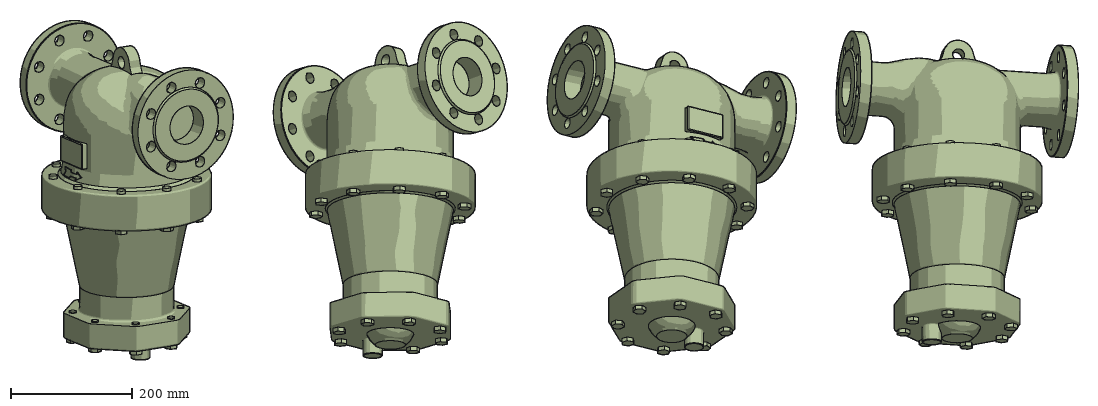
import cadquery as cq
import math

top_z = 522.5
drain_flange_bottom_z = 28.0
drain_flange_top_z = 71.5
cone_bottom_z = 115.5
body_flange_bottom_z = 243.5
body_flange_top_z = 304.5
skirt_bottom_z = 309.5
skirt_top_z = 329.0
dome_base_z = 393.5
dome_top_z = 484.5

body_radius = 208.0 / 2
skirt_radius = 108.5
skirt_fillet = 4.5
body_flange_radius = 280.0 / 2
flange_edge_fillet = 3.0
cone_top_radius = body_radius
cone_fillet = 3.0
cone_bottom_radius = 78.5
cone_lip = 1.5
neck_radius = 155.0 / 2
neck_fillet = 4.0
dome_shoulder_radius = 70.5
dome_shoulder_z = 465.5

pipe_radius = 89.0 / 2
bore_radius = 65.0 / 2
bore_depth = 31.5
half_length = 374.0 / 2
pipe_flange_radius = 185.0 / 2
pipe_flange_back_x = 164.5
pipe_flange_edge = 1.0
pipe_axis_z = top_z - pipe_flange_radius
raised_face_height = 3.0
raised_face_radius = 122.0 / 2
raised_face_base_radius = 127.0 / 2
hub_start_x = 146.0
hub_end_x = 160.5
hub_radius = 47.0
hub_fillet = 4.0
pipe_hole_radius = 18.0 / 2
pipe_hole_count = 8
pipe_hole_circle_radius = 72.5
root_clearance = 5.0
inlet_root_fillet = 13.5
outlet_root_fillet = 21.0
outlet_bend_x = 112.5
outlet_bend_rise = 1.0
outlet_hump_x = 65.5
outlet_hump_rise = 12.0
outlet_root_x = 15.5
outlet_root_rise = -3.5
outlet_root_slope = 0.6

lug_z = 495.5
lug_radius = 25.0
lug_hole_radius = 20.0 / 2
lug_thickness = 21.0
lug_taper = math.radians(16)
lug_flare_top_z = 491.0
lug_foot_half_width = 33.5
lug_foot_z = 478.5
lug_root_z = 454.5

octagon_across_flats = 196.5
octagon_sides = 8
half_octagon_step = 360 / octagon_sides / 2
octagon_corner_fillet = 16.0
dish_top_radius = 38.5
dish_side_radius = 33.5
dish_side_z = 19.0
dish_rim_radius = 27.5
dish_rim_z = 13.0
dish_bottom_radius = 25.0
dish_bottom_z = 10.0
drain_radius = 32.0 / 2
drain_x = 43.0
drain_edge_chamfer = 1.0
drain_root_fillet = 2.5

head_sides = 6
head_across_flats = 19.0
head_height = 7.0
body_bolt_count = 10
body_bolt_circle_radius = 125.0
body_stud_radius = 14.0 / 2
body_stud_height = 5.0
drain_bolt_count = octagon_sides
drain_bolt_circle_radius = 90.0
drain_stud_radius = 12.0 / 2
drain_stud_height = 2.0

plate_width = 68.0
plate_bottom_z = 334.0
plate_top_z = 377.0
plate_front_y = -108.0
plate_edge_chamfer = 1.5
plate_corner_fillet = 2.0
arrow_relief = 1.5
arrow_z = 318.0
arrow_half_height = 7.0
arrow_shaft_half_height = 3.0
arrow_tail_x = -26.0
arrow_notch_x = -20.5
arrow_shoulder_x = -1.0
arrow_head_x = 14.0
arrow_tip_x = 26.0


def turned(profile):
    """Revolve a (radius, height) profile about Z, with the seam turned to the +Y side."""
    return profile.close().revolve(360, (0, 0, 0), (0, 1, 0)).rotate((0, 0, 0), (0, 0, 1), 90)


def domed_shell():
    """Upper casing: flange, flared skirt, cylinder and dished dome."""
    profile = (
        cq.Workplane("XZ")
        .moveTo(0, body_flange_bottom_z)
        .lineTo(skirt_radius + skirt_fillet, body_flange_bottom_z)
        .lineTo(skirt_radius + skirt_fillet, body_flange_top_z)
        .lineTo(skirt_radius, skirt_bottom_z)
        .lineTo(body_radius, skirt_top_z)
        .lineTo(body_radius, dome_base_z)
        .spline(
            [(dome_shoulder_radius, dome_shoulder_z), (0, dome_top_z)],
            tangents=[(0, 1), (-1, 0)],
            includeCurrent=True,
        )
    )
    return turned(profile)


def body_flange():
    height = body_flange_top_z - body_flange_bottom_z
    disc = cq.Workplane("XY", origin=(0, 0, body_flange_bottom_z)).circle(body_flange_radius).extrude(height)
    return disc.edges().fillet(flange_edge_fillet)


def lower_casing():
    """Tapered casing and straight neck between the two bolted flanges."""
    profile = (
        cq.Workplane("XZ")
        .moveTo(0, drain_flange_top_z)
        .lineTo(neck_radius + neck_fillet, drain_flange_top_z)
        .radiusArc((neck_radius, drain_flange_top_z + neck_fillet), neck_fillet)
        .lineTo(neck_radius, cone_bottom_z - cone_lip)
        .lineTo(cone_bottom_radius, cone_bottom_z)
        .lineTo(cone_top_radius, body_flange_bottom_z - cone_fillet)
        .lineTo(cone_top_radius + cone_fillet, body_flange_bottom_z)
        .lineTo(0, body_flange_bottom_z)
    )
    return turned(profile)


def bolts(count, start_angle, circle_radius, head_z, stud_z, stud_radius, stud_top_z):
    """Hex heads below a flange and stud ends above it, corners pointing outwards."""
    head_corner_diameter = head_across_flats / math.cos(math.pi / head_sides)
    heads = (
        cq.Workplane("XY", origin=(0, 0, head_z))
        .polarArray(circle_radius, start_angle, 360, count)
        .polygon(head_sides, head_corner_diameter)
        .extrude(-head_height)
    )
    studs = (
        cq.Workplane("XY", origin=(0, 0, stud_z))
        .polarArray(circle_radius, start_angle, 360, count)
        .circle(stud_radius)
        .extrude(stud_top_z - stud_z)
    )
    return heads.union(studs)


def drain_cover():
    """Octagonal bolted flange with a shallow dish and an offset drain stub."""
    corner_diameter = octagon_across_flats / math.cos(math.radians(half_octagon_step))
    octagon = (
        cq.Workplane("XY", origin=(0, 0, drain_flange_bottom_z))
        .transformed(rotate=(0, 0, half_octagon_step))
        .polygon(octagon_sides, corner_diameter)
        .extrude(drain_flange_top_z - drain_flange_bottom_z)
        .edges("|Z")
        .fillet(octagon_corner_fillet)
        .faces("<Z")
        .edges()
        .fillet(flange_edge_fillet)
    )
    dish = turned(
        cq.Workplane("XZ")
        .moveTo(0, drain_flange_bottom_z)
        .lineTo(dish_top_radius, drain_flange_bottom_z)
        .threePointArc((dish_side_radius, dish_side_z), (dish_rim_radius, dish_rim_z))
        .lineTo(dish_bottom_radius, dish_bottom_z)
        .lineTo(0, dish_bottom_z)
    )
    stub_fillet_bottom_z = drain_flange_bottom_z - drain_root_fillet
    stub = turned(
        cq.Workplane("XZ")
        .lineTo(drain_radius - drain_edge_chamfer, 0)
        .lineTo(drain_radius, drain_edge_chamfer)
        .lineTo(drain_radius, stub_fillet_bottom_z)
        .radiusArc((drain_radius + drain_root_fillet, drain_flange_bottom_z), drain_root_fillet)
        .lineTo(0, drain_flange_bottom_z)
    ).translate((drain_x, 0, 0))
    return octagon.union(dish).union(stub)


def pipe_end(side):
    """Welding hub, flange and raised face on the +X (side = 1) or -X (side = -1) end."""
    flange_face_x = half_length - raised_face_height
    profile = (
        cq.Workplane("XY")
        .moveTo(hub_start_x, 0)
        .lineTo(hub_start_x, pipe_radius)
        .lineTo(hub_end_x, hub_radius)
        .radiusArc((pipe_flange_back_x, hub_radius + hub_fillet), -hub_fillet)
        .lineTo(pipe_flange_back_x, pipe_flange_radius - pipe_flange_edge)
        .lineTo(pipe_flange_back_x + pipe_flange_edge, pipe_flange_radius)
        .lineTo(flange_face_x, pipe_flange_radius)
        .lineTo(flange_face_x, raised_face_base_radius)
        .lineTo(half_length, raised_face_radius)
        .lineTo(half_length, 0)
        .close()
    )
    end = profile.revolve(360, (0, 0, 0), (1, 0, 0))
    holes = (
        cq.Workplane("YZ", origin=(hub_start_x, 0, 0))
        .polarArray(pipe_hole_circle_radius, 180 / pipe_hole_count, 360, pipe_hole_count)
        .circle(pipe_hole_radius)
        .extrude(half_length - hub_start_x)
    )
    end = end.cut(holes)
    if side < 0:
        end = end.mirror("YZ")
    return end.translate((0, 0, pipe_axis_z))


def inlet_pipe():
    return cq.Workplane("YZ", origin=(-hub_start_x, 0, pipe_axis_z)).circle(pipe_radius).extrude(hub_start_x)


def outlet_pipe():
    """Pipe that levels out from a hump beside the dome."""
    path = (
        cq.Workplane("XZ")
        .moveTo(hub_start_x, pipe_axis_z)
        .spline(
            [
                (outlet_bend_x, pipe_axis_z + outlet_bend_rise),
                (outlet_hump_x, pipe_axis_z + outlet_hump_rise),
                (outlet_root_x, pipe_axis_z + outlet_root_rise),
            ],
            tangents=[(-1, 0), (-1, -outlet_root_slope)],
            includeCurrent=True,
        )
    )
    return cq.Workplane("YZ", origin=(hub_start_x, 0, pipe_axis_z)).circle(pipe_radius).sweep(path)


def bores():
    left = cq.Workplane("YZ", origin=(-half_length, 0, pipe_axis_z)).circle(bore_radius).extrude(bore_depth)
    return left.union(left.mirror("YZ"))


def lifting_lug():
    tangent_x = lug_radius * math.cos(lug_taper)
    tangent_z = lug_z + lug_radius * math.sin(lug_taper)
    flare_top_x = tangent_x + (tangent_z - lug_flare_top_z) * math.tan(lug_taper)
    outline = (
        cq.Workplane("XZ", origin=(0, lug_thickness / 2, 0))
        .moveTo(-tangent_x, tangent_z)
        .threePointArc((0, lug_z + lug_radius), (tangent_x, tangent_z))
        .lineTo(flare_top_x, lug_flare_top_z)
        .lineTo(lug_foot_half_width, lug_foot_z)
        .lineTo(lug_foot_half_width, lug_root_z)
        .lineTo(-lug_foot_half_width, lug_root_z)
        .lineTo(-lug_foot_half_width, lug_foot_z)
        .lineTo(-flare_top_x, lug_flare_top_z)
        .close()
    )
    return outline.extrude(lug_thickness)


def lug_hole():
    return (
        cq.Workplane("XZ", origin=(0, lug_thickness / 2, lug_z))
        .circle(lug_hole_radius)
        .extrude(lug_thickness)
    )


def nameplate():
    height = plate_top_z - plate_bottom_z
    centre_z = (plate_top_z + plate_bottom_z) / 2
    return (
        cq.Workplane("XZ", origin=(0, 0, centre_z))
        .rect(plate_width, height)
        .extrude(-plate_front_y)
        .edges("|Y")
        .fillet(plate_corner_fillet)
        .faces("<Y")
        .chamfer(plate_edge_chamfer)
    )


def flow_arrow():
    """Arrow standing slightly proud of the flared skirt, pointing to the outlet."""
    outline = [
        (arrow_tail_x, arrow_half_height),
        (arrow_shoulder_x - arrow_shaft_half_height, arrow_half_height),
        (arrow_shoulder_x, arrow_shaft_half_height),
        (arrow_head_x, arrow_shaft_half_height),
        (arrow_head_x, arrow_half_height),
        (arrow_tip_x, 0),
        (arrow_head_x, -arrow_half_height),
        (arrow_head_x, -arrow_shaft_half_height),
        (arrow_shoulder_x, -arrow_shaft_half_height),
        (arrow_shoulder_x - arrow_shaft_half_height, -arrow_half_height),
        (arrow_tail_x, -arrow_half_height),
        (arrow_notch_x, 0),
    ]
    prism = cq.Workplane("XZ", origin=(0, 0, arrow_z)).polyline(outline).close().extrude(body_flange_radius)
    proud_skirt = turned(
        cq.Workplane("XZ")
        .moveTo(0, skirt_bottom_z)
        .lineTo(skirt_radius + arrow_relief, skirt_bottom_z)
        .lineTo(body_radius + arrow_relief, skirt_top_z)
        .lineTo(0, skirt_top_z)
    )
    return prism.intersect(proud_skirt)


def rounded_root(casing, pipe, side, fillet):
    """Join a pipe to the casing and round the curve where they meet."""
    low_z = pipe_axis_z - pipe_radius - root_clearance
    root = cq.selectors.BoxSelector(
        (side * root_clearance, -pipe_radius, low_z),
        (side * (body_radius + root_clearance), pipe_radius, top_z),
    )
    joined = casing.union(pipe)
    return joined.edges(root).fillet(fillet)


casing = rounded_root(domed_shell(), inlet_pipe(), -1, inlet_root_fillet)
casing = rounded_root(casing, outlet_pipe(), 1, outlet_root_fillet)
body_bolts = bolts(
    body_bolt_count, 0, body_bolt_circle_radius, body_flange_bottom_z,
    body_flange_top_z, body_stud_radius, body_flange_top_z + body_stud_height,
)
drain_bolts = bolts(
    drain_bolt_count, half_octagon_step, drain_bolt_circle_radius, drain_flange_bottom_z,
    drain_flange_top_z, drain_stud_radius, drain_flange_top_z + drain_stud_height,
)

result = (
    casing
    .union(body_flange())
    .union(lower_casing())
    .union(drain_cover())
    .union(body_bolts)
    .union(drain_bolts)
    .union(pipe_end(-1))
    .union(pipe_end(1))
    .union(lifting_lug())
    .union(nameplate())
    .union(flow_arrow())
    .cut(bores())
    .cut(lug_hole())
)